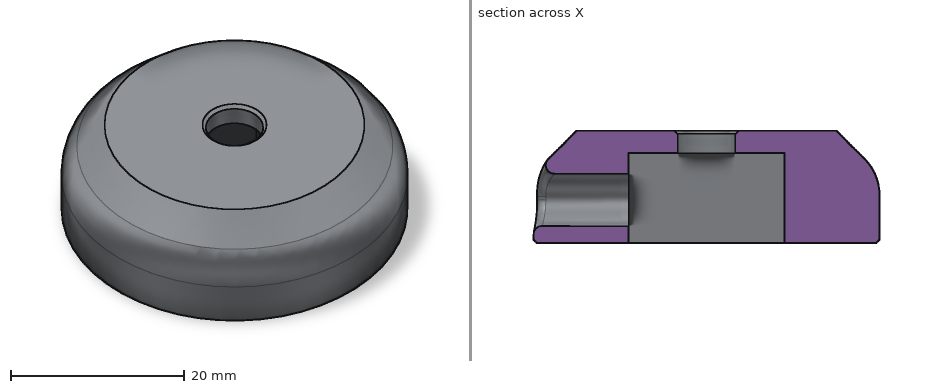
import cadquery as cq
import math

body_radius = 20.0
body_height = 13.0
top_face_radius = 15.0
shoulder_radius = 6.0
base_chamfer = 0.4

slope_degrees = 45

center_hole_radius = 3.3
center_hole_chamfer = 0.4

cavity_side = 18.0
roof_thickness = 2.6

side_hole_radius = 3.0
side_hole_height = 5.0
side_hole_lip_radius = 1.0
lip_zone_depth = 3.0


def make_body():
    """Revolve the outer profile about Z, with the shoulder arc tangent to wall and slope."""
    slope_angle = math.radians(slope_degrees)
    corner_z = body_height - (body_radius - top_face_radius) * math.tan(slope_angle)
    arc_start_z = corner_z - shoulder_radius * math.tan(slope_angle / 2)
    arc_center_r = body_radius - shoulder_radius

    def arc_point(angle):
        return (
            arc_center_r + shoulder_radius * math.cos(angle),
            arc_start_z + shoulder_radius * math.sin(angle),
        )

    profile = (
        cq.Workplane("XZ")
        .moveTo(0, 0)
        .lineTo(body_radius - base_chamfer, 0)
        .lineTo(body_radius, base_chamfer)
        .lineTo(body_radius, arc_start_z)
        .threePointArc(arc_point(slope_angle / 2), arc_point(slope_angle))
        .lineTo(top_face_radius, body_height)
        .lineTo(0, body_height)
        .close()
    )
    return profile.revolve(360, (0, 0, 0), (0, 1, 0)).rotate((0, 0, 0), (0, 0, 1), 180)


def cut_side_hole(body):
    """Cut the side hole along +Y and round its outer lip."""
    hole = (
        cq.Workplane("XZ", origin=(0, 0, side_hole_height))
        .circle(side_hole_radius)
        .extrude(-body_radius)
    )
    lip_zone = cq.selectors.BoxSelector(
        (-side_hole_radius, body_radius - lip_zone_depth, 0),
        (side_hole_radius, body_radius, body_height),
        boundingbox=False,
    )
    return body.cut(hole).edges(lip_zone).fillet(side_hole_lip_radius)


def cut_cavity(body):
    """Cut the square cavity up from the base, leaving the roof."""
    cavity_height = body_height - roof_thickness
    cavity = cq.Workplane("XY").rect(cavity_side, cavity_side).extrude(cavity_height)
    return body.cut(cavity)


def cut_center_hole(body):
    """Cut the vertical hole through the roof and chamfer its upper edge."""
    hole = cq.Workplane("XY").circle(center_hole_radius).extrude(body_height)
    countersink = (
        cq.Workplane("XY", origin=(0, 0, body_height))
        .circle(center_hole_radius + center_hole_chamfer)
        .extrude(-center_hole_chamfer, taper=slope_degrees)
    )
    return body.cut(hole).cut(countersink)


result = make_body()
result = cut_side_hole(result)
result = cut_cavity(result)
result = cut_center_hole(result)